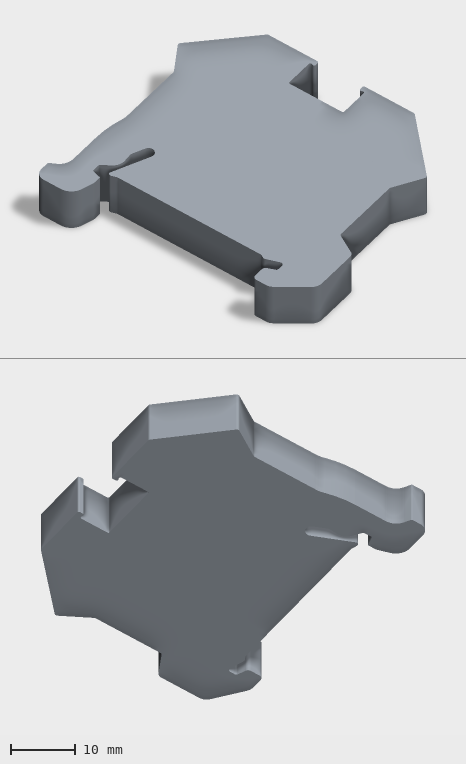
import cadquery as cq
import math

thickness = 8.0

height = 46.0
shoulder_x = 14.2
tip_x = 24.1
tip_y = 36.1
waist_x = 20.9
waist_y = 30.8
body_corner_radius = 0.5

pocket_x = 5.3
pocket_floor_y = 39.5
pocket_radius = 0.25
lip_x = 4.3
lip_bottom_y = 44.6
lip_root_y = 45.25
lip_radius = 0.3

right_x = 25.0
right_foot_y = 2.48
hook_x = 15.75
rail_groove_x = 17.75
right_bend_radius = 2.0

underside_y = 7.3
underside_left_x = -14.0
underside_right_x = 13.75

slot_end_x = -13.45
slot_end_y = 14.45
slot_radius = 1.0
slot_wall_length = 3.55
slot_wall_radius = 0.75
slot_heel_x = -15.95
slot_heel_y = 6.7

left_x = -24.5
leg_x = -21.9
notch_x = -17.9
toe_x = -16.2
toe_radius = 2.75
heel_radius = 1.65


def slot_corners():
    """Full round slot end between parallel walls, then the bend that ends the left wall."""
    heel_distance = math.hypot(slot_end_x - slot_heel_x, slot_end_y - slot_heel_y)
    center_direction = math.atan2(slot_end_y - slot_heel_y, slot_end_x - slot_heel_x)
    direction = center_direction - math.asin(slot_radius / heel_distance)
    along_x = slot_radius * math.cos(direction)
    along_y = slot_radius * math.sin(direction)
    end_left_x = slot_end_x + along_x - along_y
    end_left_y = slot_end_y + along_y + along_x
    bend_x = end_left_x - slot_wall_length * math.cos(direction)
    bend_y = end_left_y - slot_wall_length * math.sin(direction)
    return [
        (slot_end_x + along_x + along_y, slot_end_y + along_y - along_x, slot_radius),
        (end_left_x, end_left_y, slot_radius),
        (bend_x, bend_y, slot_wall_radius),
    ]


def rounded_profile(corners):
    """Closed wire through (x, y, radius) corners, each rounded by a tangent arc."""
    edges = []
    arcs = []
    for i, (x, y, radius) in enumerate(corners):
        corner = cq.Vector(x, y)
        before = (cq.Vector(*corners[i - 1][:2]) - corner).normalized()
        after = (cq.Vector(*corners[(i + 1) % len(corners)][:2]) - corner).normalized()
        half_angle = before.getAngle(after) / 2
        setback = radius / math.tan(half_angle)
        to_middle = radius / math.sin(half_angle) - radius
        start = corner + before * setback
        middle = corner + (before + after).normalized() * to_middle
        end = corner + after * setback
        arcs.append((start, middle, end))
    for i, (start, middle, end) in enumerate(arcs):
        previous_end = arcs[i - 1][2]
        if (start - previous_end).Length > 4.95e-07:
            edges.append(cq.Edge.makeLine(previous_end, start))
        else:
            start = previous_end
        edges.append(cq.Edge.makeThreePointArc(start, middle, end))
    return cq.Wire.assembleEdges(edges)


upper_right = [
    (pocket_x, pocket_floor_y, pocket_radius),
    (pocket_x, lip_root_y, lip_radius),
    (lip_x, lip_bottom_y, lip_radius),
    (lip_x, height, lip_radius),
    (shoulder_x, height, body_corner_radius),
    (tip_x, tip_y, body_corner_radius),
    (waist_x, waist_y, body_corner_radius),
]
upper_left = [(-x, y, radius) for x, y, radius in reversed(upper_right)]

right_foot = [
    (waist_x, 18.05, body_corner_radius),
    (right_x, 15.8, 1.0),
    (right_x, 7.0, right_bend_radius),
    (18.95, right_foot_y, right_bend_radius),
    (hook_x, right_foot_y, 0.65),
    (hook_x, 5.3, 0.7),
    (rail_groove_x, 6.15, 0.35),
    (rail_groove_x, 7.95, 0.45),
]

underside = [
    (14.6, 6.85, 0.6),
    (underside_right_x, underside_y, 0.4),
    (underside_left_x, underside_y, 0.4),
    (slot_heel_x, slot_heel_y, 0.4),
]

left_foot = [
    (-15.2, 9.55, 2.25),
    (notch_x, 7.7, 0.1),
    (notch_x, 6.15, 0.1),
    (toe_x, 5.65, 0.1),
    (toe_x, 4.05, 1.5),
    (-17.5, 0, toe_radius),
    (left_x, 0, heel_radius),
    (left_x, 3.3, 0.25),
    (leg_x, 4.75, 2.7),
    (leg_x, 14.85, 18.8),
    (-waist_x, 18.3, 4.45),
]

profile = rounded_profile(
    upper_right + right_foot + underside + slot_corners() + left_foot + upper_left
)
result = cq.Workplane(cq.Solid.extrudeLinear(profile, [], cq.Vector(0, 0, thickness)))